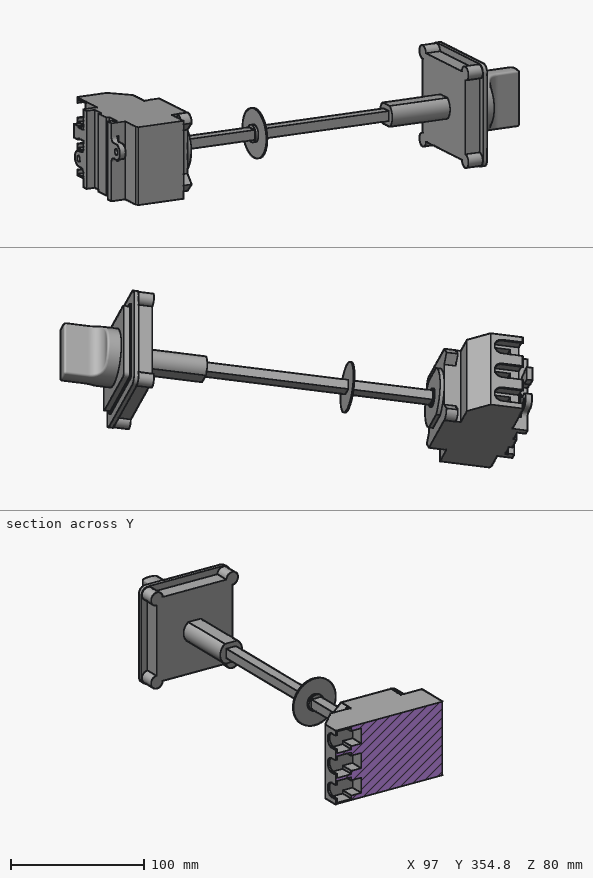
import cadquery as cq
import math


WING_BOTTOM = 11.7
BODY_TOP = 64.5
CAP_TOP = 67.8
CAP_BOSS_TOP = 69.0
WASHER_HUB_BOTTOM = 131.0
WASHER_BOTTOM = 133.0
WASHER_TOP = 134.0
SLEEVE_BOTTOM = 244.8
PLATE_BOTTOM = 293.8
FLANGE_BOTTOM = 306.0
FLANGE_TOP = 309.5
COLLAR_TOP = 314.7
GRIP_TOP = 354.8

BODY_DEPTH = 60.5
BODY_LEFT = -55.5
BODY_RIGHT = 41.5
NECK_HALF = 45.0 / 2
LEFT_SHOULDER = 51.8
RIGHT_SHOULDER = 51.0
TERMINAL_BEVEL = 14.5
RIGHT_EDGE_BEVEL = (2.5, 1.0)
LEFT_EDGE_BEVEL = 1.0

RAIL_CEILING = 6.7
LEFT_FOOT_INNER = -17.0
RIGHT_FOOT_INNER = 16.3
HOOK_DEPTH = 1.8
HOOK_TOP = 4.5
TONGUE_HALF = 6.5
TONGUE_BOTTOM = 4.3

TERMINAL_COUNT = 3
TERMINAL_PITCH = 20.2
BOX_LENGTH = 12.5
BOX_WIDTH = 17.5
BOX_TOP = 34.8
CHAMBER_BOTTOM = 18.5
CHAMBER_EXTENSION = 9.0
CHAMBER_WIDTH = 12.0
SIDE_WALL = 1.8
SLOT_WIDTH = 11.7
SLOT_TOP = 34.0

EAR_TOP = 5.0
EAR_GAP_TOP = 6.5
EAR_GAP_DEPTH = 1.8
EAR_X = 30.0
EAR_Z = 10.0
EAR_RADIUS = 6.0
EAR_HOLE_RADIUS = 2.3
EAR_BLEND = 3.5
LATCH_TOP = 4.5
LATCH_END = -37.5
LATCH_HEAD_INNER = -30.5
LATCH_Z = 10.0
LATCH_NECK_WIDTH = 8.5
LATCH_HEAD_WIDTH = 10.5
LUG_BOTTOM = 55.7
LUG_Z = 23.8
LUG_RADIUS = 6.7

CAP_HALF_Z = 20.0
CAP_BOSS_RADIUS = 7.0
SHAFT_X = 9.0
SHAFT_Z = 7.8
WASHER_RADIUS = 19.0
WASHER_HUB_RADIUS = 6.7
SLEEVE_RADIUS = 10.0
SLEEVE_HALF_Z = 8.0

FLANGE_SIDE = 80.0
FLANGE_CORNER = 6.0
PLATE_SIDE = 69.0
CORNER_POST_OFFSET = 34.0
CORNER_POST_RADIUS = 5.3
COLLAR_SIDE = 60.3
COLLAR_CORNER = 3.2
STEP_SIDE = 63.5
STEP_HEIGHT = 0.7
KNOB_RADIUS = 22.5
KNOB_SHOULDER = 325.5
GRIP_HALF = 13.0 / 2
SCOOP_RADIUS = 10.5
GRIP_EDGE_FILLET = 1.8


def sketch_at(top):
    """Sketch plane at height `top`; local x is X, local y is Z, and extrusions go towards -Y."""
    return cq.Workplane("XZ", origin=(0, top, 0))


def disc(radius, bottom, top):
    return sketch_at(top).circle(radius).extrude(top - bottom)


def block(x_size, z_size, bottom, top, x=0, z=0):
    return sketch_at(top).center(x, z).rect(x_size, z_size).extrude(top - bottom)


def half_turn(solid):
    return solid.rotate((0, 0, 0), (0, 1, 0), 180)


def terminal_position(index):
    return (index - (TERMINAL_COUNT - 1) / 2) * TERMINAL_PITCH


def make_body():
    bevel_x, bevel_y = RIGHT_EDGE_BEVEL
    outline = [
        (-NECK_HALF, 0),
        (LEFT_FOOT_INNER, 0),
        (LEFT_FOOT_INNER, RAIL_CEILING),
        (-TONGUE_HALF, RAIL_CEILING),
        (-TONGUE_HALF, TONGUE_BOTTOM),
        (TONGUE_HALF, TONGUE_BOTTOM),
        (TONGUE_HALF, RAIL_CEILING),
        (RIGHT_FOOT_INNER + HOOK_DEPTH, RAIL_CEILING),
        (RIGHT_FOOT_INNER + HOOK_DEPTH, HOOK_TOP),
        (RIGHT_FOOT_INNER, HOOK_TOP),
        (RIGHT_FOOT_INNER, 0),
        (NECK_HALF, 0),
        (NECK_HALF, WING_BOTTOM),
        (BODY_RIGHT - bevel_x, WING_BOTTOM),
        (BODY_RIGHT, WING_BOTTOM + bevel_y),
        (BODY_RIGHT, RIGHT_SHOULDER),
        (NECK_HALF, RIGHT_SHOULDER),
        (NECK_HALF, BODY_TOP),
        (-NECK_HALF, BODY_TOP),
        (-NECK_HALF, LEFT_SHOULDER),
        (BODY_LEFT + TERMINAL_BEVEL, LEFT_SHOULDER),
        (BODY_LEFT, LEFT_SHOULDER - TERMINAL_BEVEL),
        (BODY_LEFT, WING_BOTTOM + LEFT_EDGE_BEVEL),
        (BODY_LEFT + LEFT_EDGE_BEVEL, WING_BOTTOM),
        (-NECK_HALF, WING_BOTTOM),
    ]
    body = cq.Workplane("XY").polyline(outline).close().extrude(BODY_DEPTH / 2, both=True)
    for index in range(TERMINAL_COUNT):
        body = body.cut(make_terminal(terminal_position(index)))
    return body


def make_terminal(z):
    """Box open towards -Y, a deeper, narrower chamber above and a round-topped entry on the -X side."""
    box_left = BODY_LEFT + SIDE_WALL
    chamber_length = BOX_LENGTH + CHAMBER_EXTENSION
    box = block(BOX_LENGTH, BOX_WIDTH, WING_BOTTOM, BOX_TOP, box_left + BOX_LENGTH / 2, z)
    chamber = block(chamber_length, CHAMBER_WIDTH, CHAMBER_BOTTOM, BOX_TOP, box_left + chamber_length / 2, z)
    radius = SLOT_WIDTH / 2
    slot = (
        cq.Workplane("YZ", origin=(BODY_LEFT, 0, z))
        .moveTo(WING_BOTTOM, -radius)
        .lineTo(SLOT_TOP - radius, -radius)
        .threePointArc((SLOT_TOP, 0), (SLOT_TOP - radius, radius))
        .lineTo(WING_BOTTOM, radius)
        .close()
        .extrude(SIDE_WALL)
    )
    return box.union(chamber).union(slot)


def make_ear():
    """Screw ear on the +X foot, blended into the foot by concave arcs."""
    root = EAR_RADIUS + EAR_BLEND
    neck_x = NECK_HALF + EAR_BLEND
    arc_mid = EAR_BLEND * (1 - math.sqrt(0.5))
    ear = (
        sketch_at(EAR_TOP)
        .center(0, EAR_Z)
        .moveTo(NECK_HALF, -root)
        .threePointArc((NECK_HALF + arc_mid, -EAR_RADIUS - arc_mid), (neck_x, -EAR_RADIUS))
        .lineTo(EAR_X, -EAR_RADIUS)
        .threePointArc((EAR_X + EAR_RADIUS, 0), (EAR_X, EAR_RADIUS))
        .lineTo(neck_x, EAR_RADIUS)
        .threePointArc((NECK_HALF + arc_mid, EAR_RADIUS + arc_mid), (NECK_HALF, root))
        .close()
        .extrude(EAR_TOP)
    )
    hole = sketch_at(EAR_TOP).center(EAR_X, EAR_Z).circle(EAR_HOLE_RADIUS).extrude(EAR_TOP)
    return ear.cut(hole)


def make_ear_gap():
    """Shallow gap in the +X foot just above the ear."""
    width = 2 * (EAR_RADIUS + EAR_BLEND)
    return block(EAR_GAP_DEPTH, width, EAR_TOP, EAR_GAP_TOP, NECK_HALF - EAR_GAP_DEPTH / 2, EAR_Z)


def make_latch():
    neck_length = -NECK_HALF - LATCH_END
    head_length = LATCH_HEAD_INNER - LATCH_END
    neck = block(neck_length, LATCH_NECK_WIDTH, 0, LATCH_TOP, LATCH_END + neck_length / 2, LATCH_Z)
    head = block(head_length, LATCH_HEAD_WIDTH, 0, LATCH_TOP, LATCH_END + head_length / 2, LATCH_Z)
    return neck.union(head)


def make_lugs():
    """A pointed lug and a half-rounded lug on the -X side; the +X pair is a half turn of them."""
    tip = -NECK_HALF - LUG_RADIUS
    height = BODY_TOP - LUG_BOTTOM
    arc_mid = LUG_RADIUS * math.sqrt(0.5)
    pointed = (
        sketch_at(BODY_TOP)
        .moveTo(-NECK_HALF, LUG_Z + LUG_RADIUS)
        .lineTo(tip, LUG_Z)
        .lineTo(-NECK_HALF, LUG_Z - LUG_RADIUS)
        .close()
        .extrude(height)
    )
    rounded = (
        sketch_at(BODY_TOP)
        .moveTo(-NECK_HALF, -LUG_Z + LUG_RADIUS)
        .lineTo(tip, -LUG_Z)
        .threePointArc((-NECK_HALF - arc_mid, -LUG_Z - arc_mid), (-NECK_HALF, -LUG_Z - LUG_RADIUS))
        .close()
        .extrude(height)
    )
    pair = pointed.union(rounded)
    return pair.union(half_turn(pair))


def make_shaft():
    cap = disc(NECK_HALF, BODY_TOP, CAP_TOP)
    cap = cap.intersect(block(2 * NECK_HALF, 2 * CAP_HALF_Z, BODY_TOP, CAP_TOP))
    boss = disc(CAP_BOSS_RADIUS, BODY_TOP, CAP_BOSS_TOP)
    rod = block(SHAFT_X, SHAFT_Z, BODY_TOP, PLATE_BOTTOM)
    washer = disc(WASHER_RADIUS, WASHER_BOTTOM, WASHER_TOP)
    washer_hub = disc(WASHER_HUB_RADIUS, WASHER_HUB_BOTTOM, WASHER_BOTTOM)
    sleeve = disc(SLEEVE_RADIUS, SLEEVE_BOTTOM, PLATE_BOTTOM)
    sleeve = sleeve.intersect(block(2 * SLEEVE_RADIUS, 2 * SLEEVE_HALF_Z, SLEEVE_BOTTOM, PLATE_BOTTOM))
    return cap.union(boss).union(rod).union(washer).union(washer_hub).union(sleeve)


def make_mounting_plate():
    plate = block(PLATE_SIDE, PLATE_SIDE, PLATE_BOTTOM, FLANGE_BOTTOM)
    post_spacing = 2 * CORNER_POST_OFFSET
    posts = (
        sketch_at(FLANGE_BOTTOM)
        .rect(post_spacing, post_spacing, forConstruction=True)
        .vertices()
        .circle(CORNER_POST_RADIUS)
        .extrude(FLANGE_BOTTOM - PLATE_BOTTOM)
    )
    flange = block(FLANGE_SIDE, FLANGE_SIDE, FLANGE_BOTTOM, FLANGE_TOP).edges("|Y").fillet(FLANGE_CORNER)
    step = block(STEP_SIDE, STEP_SIDE, FLANGE_TOP, FLANGE_TOP + STEP_HEIGHT).edges("|Y").fillet(COLLAR_CORNER)
    collar = block(COLLAR_SIDE, COLLAR_SIDE, FLANGE_TOP, COLLAR_TOP).edges("|Y").fillet(COLLAR_CORNER)
    return plate.union(posts).union(flange).union(step).union(collar)


def make_knob():
    """Round knob scooped on both sides so that a flat grip remains across it."""
    scoop_end = GRIP_HALF + SCOOP_RADIUS
    scoop_start = KNOB_SHOULDER + SCOOP_RADIUS
    arc_mid = SCOOP_RADIUS * (1 - math.sqrt(0.5))
    profile = (
        cq.Workplane("XY")
        .moveTo(-KNOB_RADIUS, COLLAR_TOP)
        .lineTo(KNOB_RADIUS, COLLAR_TOP)
        .lineTo(KNOB_RADIUS, KNOB_SHOULDER)
        .lineTo(scoop_end, KNOB_SHOULDER)
        .threePointArc((GRIP_HALF + arc_mid, KNOB_SHOULDER + arc_mid), (GRIP_HALF, scoop_start))
        .lineTo(GRIP_HALF, GRIP_TOP)
        .lineTo(-GRIP_HALF, GRIP_TOP)
        .lineTo(-GRIP_HALF, scoop_start)
        .threePointArc((-GRIP_HALF - arc_mid, KNOB_SHOULDER + arc_mid), (-scoop_end, KNOB_SHOULDER))
        .lineTo(-KNOB_RADIUS, KNOB_SHOULDER)
        .close()
        .extrude(KNOB_RADIUS, both=True)
    )
    knob = profile.intersect(disc(KNOB_RADIUS, COLLAR_TOP, GRIP_TOP))
    base_middle = (COLLAR_TOP + KNOB_SHOULDER) / 2
    upper_edges = cq.selectors.BoxSelector(
        (-KNOB_RADIUS, base_middle + GRIP_EDGE_FILLET, -KNOB_RADIUS),
        (KNOB_RADIUS, GRIP_TOP + GRIP_EDGE_FILLET, KNOB_RADIUS),
    )
    return knob.edges(upper_edges).fillet(GRIP_EDGE_FILLET)


ear = make_ear()
ear_gap = make_ear_gap()
result = (
    make_body()
    .cut(ear_gap)
    .cut(half_turn(ear_gap))
    .union(ear)
    .union(half_turn(ear))
    .union(make_latch())
    .union(make_lugs())
    .union(make_shaft())
    .union(make_mounting_plate())
    .union(make_knob())
)